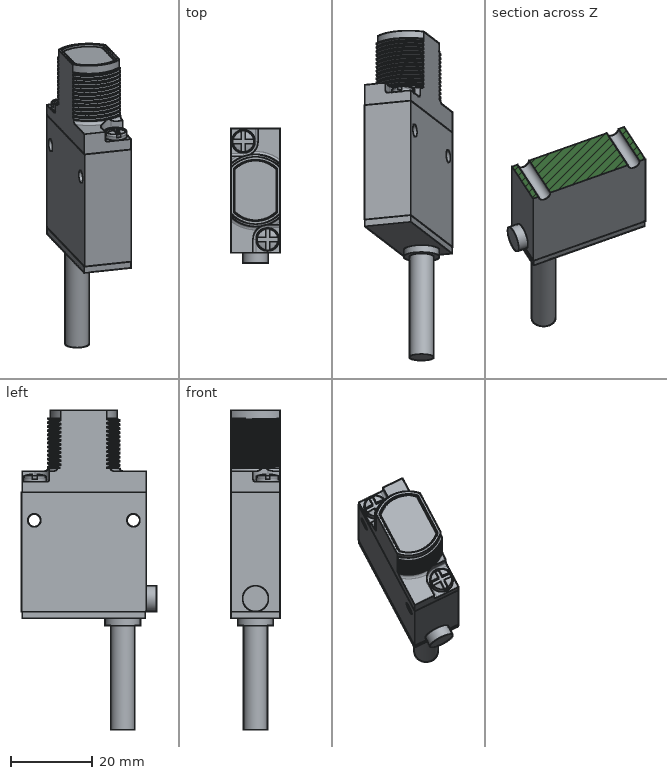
import cadquery as cq
import math

width = 12.09
housing_length = 30.73
housing_height = 29.30
mount_hole_diameter = 3.1
mount_hole_spacing = 24.4
mount_hole_z = 22.45

base_inset = 0.2
base_thickness = 1.7

cable_y = -9.57
cable_diameter = 6.0
cable_length = 25.71
collar_diameter = 8.8
collar_thickness = 1.75

button_diameter = 6.35
button_height = 2.54
button_z = button_diameter / 2

head_inset = 0.2
shoulder_height = 5.25
tower_height = 15.0
tower_radius = 8.28
cap_height = 2.0
skirt_top_radius = 8.9
skirt_fillet = 0.75
shoulder_z = housing_height + shoulder_height
tower_top_z = shoulder_z + tower_height

thread_radius = 8.9
thread_pitch = 1.0
thread_root_width = 0.95
thread_crest_width = 0.2
thread_embed = 0.15
thread_top_offset = 0.3
thread_bottom_z = shoulder_z + skirt_fillet
thread_top_z = tower_top_z - cap_height

rim_width = 0.7
window_clearance = 0.25
window_depth = 0.5
window_thickness = 1.0

screw_x = 2.97
screw_end_distance = 3.3
screw_y = housing_length / 2 - screw_end_distance
screw_radius = 2.85
screw_rim_height = 0.95
screw_edge_width = 0.25
screw_edge_height = 0.5
screw_dome_height = 0.45
screw_slot_depth = 1.3
screw_slot_x_width = 1.15
screw_slot_y_width = 1.0
pocket_radius = 3.6
pocket_fillet = 0.65
pocket_depth = 2.6
pocket_floor_z = shoulder_z - pocket_depth


def block(x_size, y_min, y_max, z_min, z_max):
    """Box centred on X between the given Y and Z limits."""
    return cq.Workplane("XY").box(
        x_size, y_max - y_min, z_max - z_min, centered=(True, False, False)
    ).translate((0, y_min, z_min))


def cylinder(radius, height, x=0, y=0, z=0):
    """Upright cylinder standing on the point (x, y, z)."""
    return cq.Workplane("XY", origin=(x, y, z)).circle(radius).extrude(height)


def make_housing():
    body = block(width, -housing_length / 2, housing_length / 2, 0, housing_height)
    holes = (
        cq.Workplane("YZ", origin=(0, 0, mount_hole_z))
        .pushPoints([(-mount_hole_spacing / 2, 0), (mount_hole_spacing / 2, 0)])
        .circle(mount_hole_diameter / 2)
        .extrude(width, both=True)
    )
    return body.cut(holes)


def make_base():
    half_length = housing_length / 2 - base_inset
    return block(width, -half_length, half_length, -base_thickness, 0)


def make_cable():
    collar_z = -base_thickness - collar_thickness
    collar = cylinder(collar_diameter / 2, collar_thickness, y=cable_y, z=collar_z)
    cord = cylinder(cable_diameter / 2, cable_length, y=cable_y, z=collar_z - cable_length)
    return collar.union(cord)


def make_button():
    return (
        cq.Workplane("XZ", origin=(0, -housing_length / 2, button_z))
        .circle(button_diameter / 2)
        .extrude(button_height)
    )


def flat_sided_outline(inset, z):
    """Tower cap outline at height z, moved inward by inset."""
    radius = tower_radius - inset
    half_width = width / 2 - inset
    half_flat = math.sqrt(radius**2 - half_width**2)
    return (
        cq.Workplane("XY", origin=(0, 0, z))
        .moveTo(half_width, -half_flat)
        .lineTo(half_width, half_flat)
        .threePointArc((0, radius), (-half_width, half_flat))
        .lineTo(-half_width, -half_flat)
        .threePointArc((0, -radius), (half_width, -half_flat))
        .close()
    )


def make_thread_turn():
    """One turn of the helical ridge at Z = 0, cut by the flats into a +Y and a -Y tooth."""
    inner_radius = tower_radius - thread_embed
    helix = cq.Wire.makeHelix(thread_pitch, thread_pitch, inner_radius)
    ridge = (
        cq.Workplane("XZ")
        .polyline([
            (inner_radius, -thread_root_width / 2),
            (thread_radius, -thread_crest_width / 2),
            (thread_radius, thread_crest_width / 2),
            (inner_radius, thread_root_width / 2),
        ])
        .close()
        .sweep(cq.Workplane(helix), isFrenet=True)
    )
    half_length = housing_length / 2
    return ridge.intersect(block(width, -half_length, half_length, -thread_pitch, 2 * thread_pitch))


def make_thread_teeth():
    """List of all teeth, trimmed to the threaded length of the tower."""
    half_length = housing_length / 2
    zone = block(width, -half_length, half_length, thread_bottom_z, thread_top_z)
    turn = make_thread_turn()
    turn_count = math.ceil((thread_top_z - thread_bottom_z) / thread_pitch)
    teeth = []
    for index in range(turn_count):
        turn_z = thread_top_z - thread_top_offset - index * thread_pitch
        placed_turn = turn.translate((0, 0, turn_z))
        if index in (0, turn_count - 1):
            placed_turn = placed_turn.intersect(zone)
        teeth.extend(placed_turn.solids().vals())
    return teeth


def make_screw_pocket():
    """Corner pocket for the screw at +X, -Y, with a rounded floor edge."""
    reach = 2 * pocket_radius
    pocket = (
        cq.Workplane("XY", origin=(screw_x, -screw_y, pocket_floor_z))
        .moveTo(-pocket_radius, -reach)
        .lineTo(-pocket_radius, 0)
        .threePointArc(
            (-pocket_radius * math.sqrt(0.5), pocket_radius * math.sqrt(0.5)), (0, pocket_radius)
        )
        .lineTo(reach, pocket_radius)
        .lineTo(reach, -reach)
        .close()
        .extrude(pocket_depth + skirt_fillet)
    )
    return pocket.faces("<Z").edges().fillet(pocket_fillet)


def make_head():
    half_length = housing_length / 2
    shoulder = block(width, -half_length, half_length - head_inset, housing_height, shoulder_z)
    foot_radius = skirt_top_radius + skirt_fillet
    fillet_drop = skirt_fillet * (1 - math.sqrt(0.5))
    skirt = (
        cq.Workplane("XZ", origin=(0, 0, shoulder_z))
        .lineTo(foot_radius, 0)
        .threePointArc((skirt_top_radius + fillet_drop, fillet_drop), (skirt_top_radius, skirt_fillet))
        .lineTo(0, skirt_fillet)
        .close()
        .revolve(360, (0, 0), (0, 1))
    )
    skirt = skirt.intersect(block(width, -half_length, half_length, shoulder_z, tower_top_z))
    tower = flat_sided_outline(0, shoulder_z).extrude(tower_height)
    head = shoulder.union(skirt).union(tower)

    pocket = make_screw_pocket()
    for angle in (0, 180):
        head = head.cut(pocket.rotate((0, 0, 0), (0, 0, 1), angle))

    recess_depth = window_depth + window_thickness
    recess = flat_sided_outline(rim_width, tower_top_z - recess_depth).extrude(recess_depth)
    head = head.cut(recess)

    threaded_head = head.val().fuse(*make_thread_teeth()).clean()
    return cq.Workplane(threaded_head)


def make_window():
    floor_z = tower_top_z - window_depth - window_thickness
    return flat_sided_outline(rim_width + window_clearance, floor_z).extrude(window_thickness)


def make_screw():
    """Domed, cross-slotted screw head standing at +X, -Y."""
    dome_base = screw_rim_height + screw_edge_height
    dome_edge = screw_radius - screw_edge_width
    dome_top = dome_base + screw_dome_height
    dome_radius = (dome_edge**2 + screw_dome_height**2) / (2 * screw_dome_height)
    middle_x = dome_edge / 2
    middle_z = dome_top - dome_radius + math.sqrt(dome_radius**2 - middle_x**2)
    screw = (
        cq.Workplane("XZ")
        .lineTo(screw_radius, 0)
        .lineTo(screw_radius, screw_rim_height)
        .tangentArcPoint((dome_edge, dome_base), relative=False)
        .threePointArc((middle_x, middle_z), (0, dome_top))
        .close()
        .revolve(360, (0, 0), (0, 1))
    )
    slot_bottom = cq.Workplane("XY", origin=(0, 0, dome_top - screw_slot_depth))
    slot_along_x = slot_bottom.rect(2 * dome_edge, screw_slot_x_width).extrude(screw_slot_depth)
    slot_along_y = slot_bottom.rect(screw_slot_y_width, 2 * dome_edge).extrude(screw_slot_depth)
    screw = screw.cut(slot_along_x).cut(slot_along_y)
    return screw.translate((screw_x, -screw_y, pocket_floor_z))


housing = make_housing()
base = make_base()
cable = make_cable()
button = make_button()
head = make_head()
window = make_window()
screws = [make_screw().rotate((0, 0, 0), (0, 0, 1), angle) for angle in (0, 180)]

result = cq.Compound.makeCompound([
    housing.val(),
    base.val(),
    cable.val(),
    button.val(),
    head.val(),
    window.val(),
    *[screw.val() for screw in screws],
])